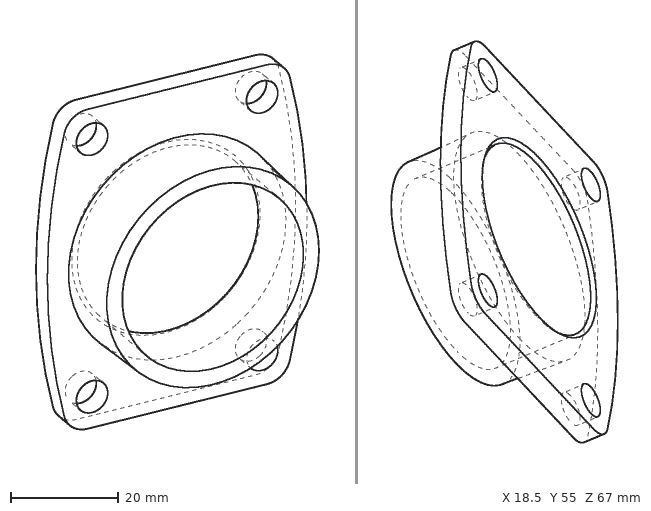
import cadquery as cq

flange_height = 67.0
flange_width = 55.0
flange_thickness = 4.5
corner_width = 45.8
corner_radius = 5.0

hole_diameter = 6.6
hole_spacing_y = 36.05
hole_spacing_z = 54.0

total_depth = 18.5
spigot_root_diameter = 46.0
spigot_end_diameter = 45.0

bore_diameter = 38.4
bore_mouth_diameter = 39.9
bore_chamfer = (bore_mouth_diameter - bore_diameter) / 2


def make_flange():
    """Plate with flat ends, bowed sides and rounded corners."""
    half_height = flange_height / 2
    half_width = flange_width / 2
    half_corner = corner_width / 2
    return (
        cq.Workplane("YZ")
        .moveTo(-half_corner, -half_height)
        .lineTo(half_corner, -half_height)
        .threePointArc((half_width, 0), (half_corner, half_height))
        .lineTo(-half_corner, half_height)
        .threePointArc((-half_width, 0), (-half_corner, -half_height))
        .close()
        .extrude(flange_thickness)
        .edges("|X")
        .fillet(corner_radius)
    )


def make_spigot():
    """Solid of revolution about X, standing on the flange."""
    root_radius = spigot_root_diameter / 2
    end_radius = spigot_end_diameter / 2
    return (
        cq.Workplane("XY")
        .polyline([
            (0, 0),
            (0, root_radius),
            (flange_thickness, root_radius),
            (total_depth, end_radius),
            (total_depth, 0),
        ])
        .close()
        .revolve(360, (0, 0, 0), (1, 0, 0))
    )


def make_bore():
    """Through bore with a 45 degree chamfer at the flange face."""
    bore_radius = bore_diameter / 2
    return (
        cq.Workplane("XY")
        .polyline([
            (0, 0),
            (0, bore_mouth_diameter / 2),
            (bore_chamfer, bore_radius),
            (total_depth, bore_radius),
            (total_depth, 0),
        ])
        .close()
        .revolve(360, (0, 0, 0), (1, 0, 0))
    )


def make_mounting_holes():
    """Four through holes on a rectangular pattern."""
    return (
        cq.Workplane("YZ")
        .rect(hole_spacing_y, hole_spacing_z, forConstruction=True)
        .vertices()
        .circle(hole_diameter / 2)
        .extrude(flange_thickness)
    )


result = make_flange().union(make_spigot()).cut(make_bore()).cut(make_mounting_holes())